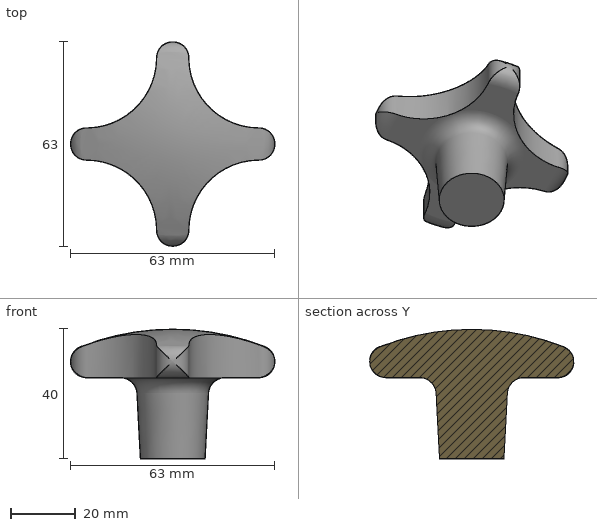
import cadquery as cq
import math

HEAD_SPAN = 63.0
TOTAL_HEIGHT = 40.0
STEM_HEIGHT = 25.0
STEM_FOOT_RADIUS = 10.0
STEM_TAPER = math.radians(3.0)
NECK_RADIUS = 5.0
TIP_RADIUS = 5.0

HEAD_RADIUS = HEAD_SPAN / 2
TIP_CENTER = HEAD_RADIUS - TIP_RADIUS
TIP_CENTER_Z = STEM_HEIGHT + TIP_RADIUS
SCALLOP_RADIUS = TIP_CENTER - TIP_RADIUS

DOME_RISE = TOTAL_HEIGHT - TIP_CENTER_Z
DOME_RADIUS = (TIP_CENTER**2 + DOME_RISE**2 - TIP_RADIUS**2) / (2 * (DOME_RISE - TIP_RADIUS))
DOME_CENTER_Z = TOTAL_HEIGHT - DOME_RADIUS


def on_circle(center, radius, angle):
    """Point on a circle, with the angle in radians from the first axis."""
    return (center[0] + radius * math.cos(angle), center[1] + radius * math.sin(angle))


def revolve_about_z(profile):
    """Turn a closed (radius, height) profile around the Z axis."""
    return profile.close().revolve(360, (0, 0), (0, 1))


def make_head_blank():
    """Domed disc with a flat underside and a rounded rim."""
    dome_center = (0, DOME_CENTER_Z)
    tip_center = (TIP_CENTER, TIP_CENTER_Z)
    rim_angle = math.atan2(TIP_CENTER_Z - DOME_CENTER_Z, TIP_CENTER)
    dome_mid = on_circle(dome_center, DOME_RADIUS, (math.pi / 2 + rim_angle) / 2)
    dome_end = on_circle(dome_center, DOME_RADIUS, rim_angle)
    profile = (
        cq.Workplane("XZ")
        .moveTo(0, STEM_HEIGHT)
        .lineTo(TIP_CENTER, STEM_HEIGHT)
        .threePointArc(on_circle(tip_center, TIP_RADIUS, 0), dome_end)
        .threePointArc(dome_mid, (0, TOTAL_HEIGHT))
    )
    return revolve_about_z(profile)


def make_cross_prism():
    """Four-armed plan outline: round arm ends joined by concave scallops."""
    outline = cq.Workplane("XY").workplane(offset=STEM_HEIGHT).moveTo(TIP_CENTER, -TIP_RADIUS)
    for arm in range(4):
        turn = arm * math.pi / 2
        tip_center = on_circle((0, 0), TIP_CENTER, turn)
        scallop_center = on_circle((0, 0), TIP_CENTER * math.sqrt(2), turn + math.pi / 4)
        outline = outline.threePointArc(
            on_circle(tip_center, TIP_RADIUS, turn),
            on_circle(tip_center, TIP_RADIUS, turn + math.pi / 2),
        ).threePointArc(
            on_circle(scallop_center, SCALLOP_RADIUS, turn + math.pi * 5 / 4),
            on_circle(scallop_center, SCALLOP_RADIUS, turn + math.pi),
        )
    return outline.close().extrude(TOTAL_HEIGHT - STEM_HEIGHT)


def make_stem():
    """Tapered stem flaring into the head underside."""
    neck_start_z = STEM_HEIGHT - NECK_RADIUS * (1 - math.sin(STEM_TAPER))
    neck_start_radius = STEM_FOOT_RADIUS + neck_start_z * math.tan(STEM_TAPER)
    neck_center = (
        neck_start_radius + NECK_RADIUS * math.cos(STEM_TAPER),
        STEM_HEIGHT - NECK_RADIUS,
    )
    neck_mid_angle = (math.pi - STEM_TAPER + math.pi / 2) / 2
    profile = (
        cq.Workplane("XZ")
        .lineTo(STEM_FOOT_RADIUS, 0)
        .lineTo(neck_start_radius, neck_start_z)
        .threePointArc(
            on_circle(neck_center, NECK_RADIUS, neck_mid_angle),
            on_circle(neck_center, NECK_RADIUS, math.pi / 2),
        )
        .lineTo(0, STEM_HEIGHT)
    )
    return revolve_about_z(profile)


head = make_head_blank().intersect(make_cross_prism())
result = head.union(make_stem())